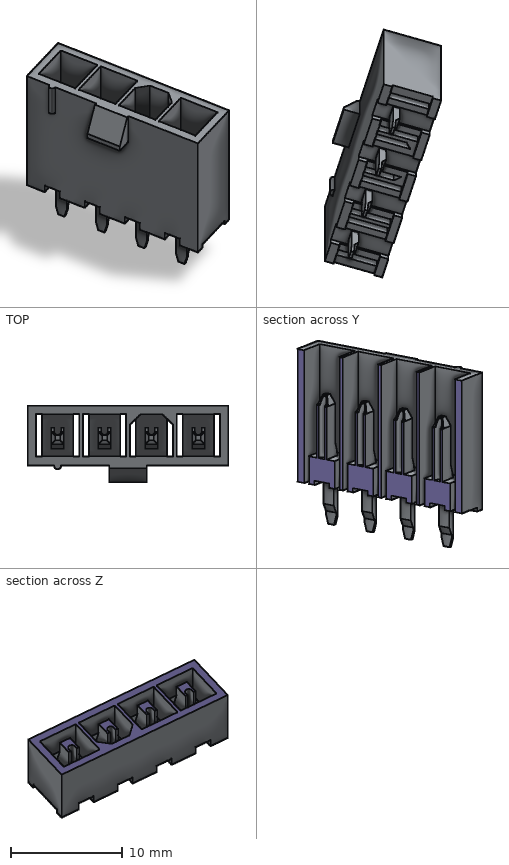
import cadquery as cq

LENGTH = 18.0
DEPTH = 5.4
HEIGHT = 12.82
FRONT_WALL = 0.83
REAR_WALL = 0.77

PITCH = 4.21
CONTACT_COUNT = 4
CONTACT_XS = [(i - (CONTACT_COUNT - 1) / 2) * PITCH for i in range(CONTACT_COUNT)]

CAVITY_WIDTH = 3.85
CAVITY_DEPTH = DEPTH - FRONT_WALL - REAR_WALL
CAVITY_CENTER_Y = FRONT_WALL + CAVITY_DEPTH / 2
KEYED_CAVITY = 2
KEY_CHAMFER = 0.95
BRIDGE_WIDTH = 2.83
BRIDGE_TOP = 3.0

RECESS_HEIGHT = 0.38
NOTCH_WIDTH = 1.6
NOTCH_HEIGHT = 0.77

LATCH_WIDTH = 3.4
LATCH_REACH = 1.5
LATCH_TOP_REACH = 0.22
LATCH_NOSE = 0.5
FRONT_FEATURE_HEIGHT = 3.0
RIDGE_RADIUS = 0.32

CONTACT_WIDTH = 1.13
POST_FRONT_Y = 1.93
POST_REAR_Y = 3.4
POST_TOP = 8.85
TIP_INSET = 0.35
TIP_HEIGHT = 0.92
CHANNEL_RADIUS = 0.3
RAMP_RISE = 1.22

TAIL_DROP = 3.5
TAIL_FRONT_Y = 1.53
TAIL_THICKNESS = 0.65
TAIL_END_WIDTH = 0.65
TAIL_END_TAPER = 0.88
TAIL_END_THICKNESS = 0.27
BEVEL_START = 1.95
BEVEL_END = 1.19


def extrude_along_x(points, center_x, width):
    """Closed (y, z) outline extruded symmetrically about center_x."""
    outline = cq.Workplane("YZ", origin=(center_x, 0, 0)).polyline(points).close()
    return outline.extrude(width / 2, both=True)


def make_cavity(center_x, keyed):
    """Opening through the full height, minus the bridge across its floor."""
    center = (center_x, CAVITY_CENTER_Y)
    cavity = cq.Workplane("XY").center(*center).rect(CAVITY_WIDTH, CAVITY_DEPTH).extrude(HEIGHT)
    if keyed:
        cavity = cavity.edges("|Z and >Y").chamfer(KEY_CHAMFER)
    bridge = cq.Workplane("XY").center(*center).rect(BRIDGE_WIDTH, CAVITY_DEPTH).extrude(BRIDGE_TOP)
    return cavity.cut(bridge)


def make_housing():
    housing = cq.Workplane("XY").box(LENGTH, DEPTH, HEIGHT, centered=(True, False, False))
    recess = cq.Workplane("XY").center(0, CAVITY_CENTER_Y).rect(LENGTH, CAVITY_DEPTH).extrude(RECESS_HEIGHT)
    housing = housing.cut(recess)
    for index, center_x in enumerate(CONTACT_XS):
        notch = cq.Workplane("XY").center(center_x, DEPTH / 2).rect(NOTCH_WIDTH, DEPTH).extrude(NOTCH_HEIGHT)
        housing = housing.cut(make_cavity(center_x, index == KEYED_CAVITY)).cut(notch)
    return housing


def make_latch():
    bottom = HEIGHT - FRONT_FEATURE_HEIGHT
    profile = [
        (0, bottom),
        (-LATCH_REACH, bottom),
        (-LATCH_REACH, bottom + LATCH_NOSE),
        (-LATCH_TOP_REACH, HEIGHT),
        (0, HEIGHT),
    ]
    return extrude_along_x(profile, 0, LATCH_WIDTH)


def make_ridge():
    """Half-round ridge in line with the first contact; its rear half lies in the front wall."""
    base = cq.Workplane("XY", origin=(CONTACT_XS[0], 0, HEIGHT - FRONT_FEATURE_HEIGHT))
    return base.circle(RIDGE_RADIUS).extrude(FRONT_FEATURE_HEIGHT)


def make_post(center_x):
    """Square pointed pin with two rear legs around a round-bottomed channel."""
    shoulder = POST_TOP - TIP_HEIGHT
    pin_rear_y = POST_FRONT_Y + CONTACT_WIDTH
    profile = [
        (TAIL_FRONT_Y, NOTCH_HEIGHT),
        (TAIL_FRONT_Y, BRIDGE_TOP),
        (POST_FRONT_Y, BRIDGE_TOP + RAMP_RISE),
        (POST_FRONT_Y, shoulder),
        (POST_REAR_Y, shoulder),
        (POST_REAR_Y, NOTCH_HEIGHT),
    ]
    post = extrude_along_x(profile, center_x, CONTACT_WIDTH)

    tip_base = cq.Workplane("XY", origin=(center_x, (POST_FRONT_Y + pin_rear_y) / 2, shoulder))
    tip_end_width = CONTACT_WIDTH - 2 * TIP_INSET
    tip = (
        tip_base.rect(CONTACT_WIDTH, CONTACT_WIDTH)
        .workplane(offset=TIP_HEIGHT)
        .rect(tip_end_width, tip_end_width)
        .loft(ruled=True)
    )

    channel = (
        cq.Workplane("XY", origin=(center_x, 0, BRIDGE_TOP))
        .moveTo(-CHANNEL_RADIUS, POST_REAR_Y)
        .lineTo(-CHANNEL_RADIUS, pin_rear_y)
        .threePointArc((0, pin_rear_y - CHANNEL_RADIUS), (CHANNEL_RADIUS, pin_rear_y))
        .lineTo(CHANNEL_RADIUS, POST_REAR_Y)
        .close()
        .extrude(POST_TOP - BRIDGE_TOP)
    )
    return post.union(tip).cut(channel)


def make_tail(center_x):
    """Flat tail thinned from the rear and narrowed on both sides at its end."""
    rear_y = TAIL_FRONT_Y + TAIL_THICKNESS
    end_rear_y = TAIL_FRONT_Y + TAIL_END_THICKNESS
    side_profile = [
        (TAIL_FRONT_Y, -TAIL_DROP),
        (TAIL_FRONT_Y, BRIDGE_TOP),
        (rear_y, BRIDGE_TOP),
        (rear_y, BEVEL_START - TAIL_DROP),
        (end_rear_y, BEVEL_END - TAIL_DROP),
        (end_rear_y, -TAIL_DROP),
    ]
    half_width = CONTACT_WIDTH / 2
    half_end = TAIL_END_WIDTH / 2
    front_profile = [
        (-half_end, -TAIL_DROP),
        (-half_width, TAIL_END_TAPER - TAIL_DROP),
        (-half_width, BRIDGE_TOP),
        (half_width, BRIDGE_TOP),
        (half_width, TAIL_END_TAPER - TAIL_DROP),
        (half_end, -TAIL_DROP),
    ]
    front_outline = cq.Workplane("XZ", origin=(center_x, 0, 0)).polyline(front_profile).close()
    return extrude_along_x(side_profile, center_x, CONTACT_WIDTH).intersect(front_outline.extrude(-DEPTH))


result = make_housing().union(make_latch()).union(make_ridge())
for contact_x in CONTACT_XS:
    result = result.union(make_post(contact_x)).union(make_tail(contact_x))